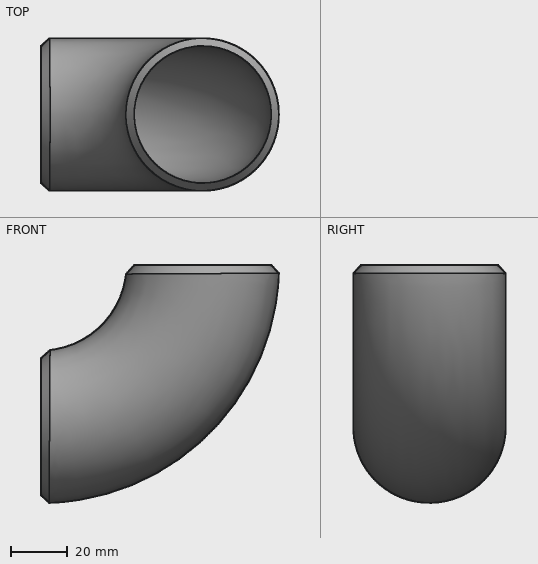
import cadquery as cq
import math

overall_size = 84.1
pipe_diameter = 54.0
wall = 2.8
bevel_length = 3.0
bend_angle = 90.0

outer_radius = pipe_diameter / 2
bore_radius = outer_radius - wall
bend_radius = math.hypot(overall_size, bevel_length) - outer_radius


def bent_rod(radius):
    """Round rod swept from the end at X = 0 to the end at Z = 0, around the Y axis."""
    return (
        cq.Workplane("YZ")
        .center(0, -bend_radius)
        .circle(radius)
        .revolve(bend_angle, (0.8, bend_radius), (-0.8, bend_radius))
    )


def bevel_cutter():
    """Ring along the Z axis that leaves a cone from the bore edge out past the pipe wall."""
    overshoot = 2.0
    rim_radius = bore_radius + overshoot * wall
    return (
        cq.Workplane("XZ")
        .moveTo(bore_radius, 0)
        .lineTo(rim_radius, -overshoot * bevel_length)
        .lineTo(rim_radius, 0)
        .close()
        .revolve(360, (0, 0), (0, 1))
    )


body = bent_rod(outer_radius)

top_bevel = bevel_cutter().translate((bend_radius, 0, 0))
side_bevel = bevel_cutter().rotate((0, 0, 0), (0, 1, 0), -90).translate((0, 0, -bend_radius))
body = body.cut(top_bevel).cut(side_bevel)

result = body.cut(bent_rod(bore_radius))